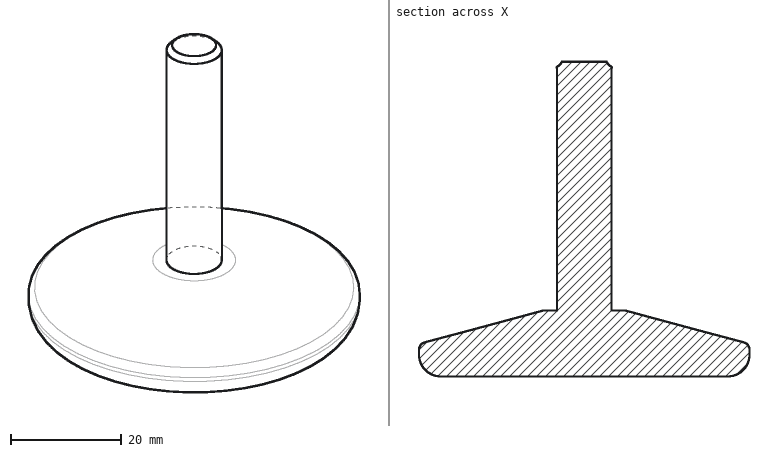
import cadquery as cq
import math

foot_radius = 30.0
hub_radius = 7.5
foot_height = 12.0
bottom_rounding = 4.0
cone_angle = math.radians(15)
shoulder_rounding = 1.5

stud_diameter = 10.0
stud_length = 45.0
stud_chamfer = 1.0

shoulder_center_x = foot_radius - shoulder_rounding
cone_normal = math.pi / 2 - cone_angle
cone_radius = shoulder_center_x + shoulder_rounding * math.cos(cone_normal)
cone_bottom = foot_height - (cone_radius - hub_radius) * math.tan(cone_angle)
rim_top = cone_bottom - shoulder_rounding * math.sin(cone_normal)


def shoulder_point(angle):
    """Point on the shoulder arc at an angle above horizontal."""
    return (
        shoulder_center_x + shoulder_rounding * math.cos(angle),
        rim_top + shoulder_rounding * math.sin(angle),
    )


bottom_flat_radius = foot_radius - bottom_rounding
bottom_arc_middle = (
    bottom_flat_radius + bottom_rounding * math.sin(math.pi / 4),
    bottom_rounding * (1 - math.cos(math.pi / 4)),
)

foot = (
    cq.Workplane("XZ")
    .lineTo(bottom_flat_radius, 0)
    .threePointArc(bottom_arc_middle, (foot_radius, bottom_rounding))
    .lineTo(foot_radius, rim_top)
    .threePointArc(shoulder_point(cone_normal / 2), shoulder_point(cone_normal))
    .lineTo(hub_radius, foot_height)
    .lineTo(0, foot_height)
    .close()
    .revolve(360, (0, 0, 0), (0, 1, 0))
)

stud = (
    cq.Workplane("XY")
    .workplane(offset=foot_height)
    .circle(stud_diameter / 2)
    .extrude(stud_length)
    .faces(">Z")
    .chamfer(stud_chamfer)
)

result = foot.union(stud)